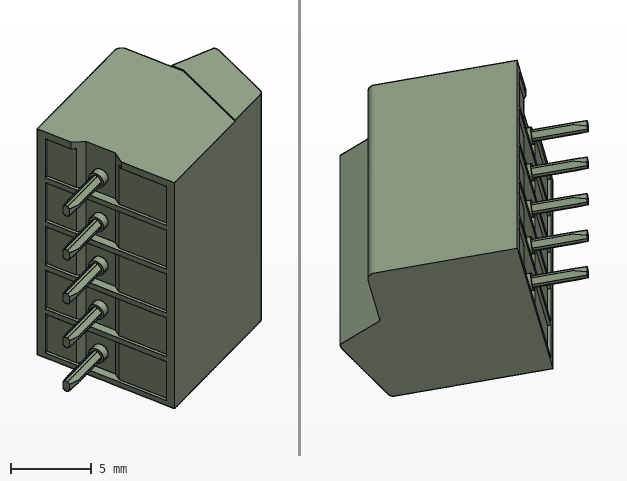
import cadquery as cq
import math


HOUSING_WIDTH = 10.0
HOUSING_DEPTH = 9.55
TOTAL_HEIGHT = 18.1
HEAD_STEP = 0.09
HOUSING_HEIGHT = TOTAL_HEIGHT - HEAD_STEP
HOUSING_RADIUS = 0.5
SLOPE_ANGLE = math.radians(25)
SLOPE_START_X = 4.69
SLOPE_END_DEPTH = HOUSING_DEPTH - (HOUSING_WIDTH - SLOPE_START_X) * math.tan(SLOPE_ANGLE)

HEAD_START_X = 3.84
HEAD_FACE_LENGTH = 3.25
HEAD_PEAK_CUT = 0.1
HEAD_OUTER_RADIUS = 0.4

POLE_COUNT = 5
POLE_PITCH = 3.5
POLE_X = 4.29
FIRST_POLE_Z = 1.75

RECESS_SIDE_MARGIN = 0.6
RECESS_BOTTOM_MARGIN = 0.4
RECESS_WEB = 0.4
RECESS_HEIGHT = POLE_PITCH - RECESS_WEB
RECESS_DEPTH = 0.2
CHANNEL_DEPTH = 0.55
CHANNEL_FLOOR_WIDTH = 2.12
CHANNEL_RIM_WIDTH = 3.65

COLLAR_DIAMETER = 1.09
PIN_LENGTH = 3.5
PIN_WIDTH = 0.8
PIN_FLAT = 0.2
TIP_WIDTH = 0.49
TIP_LENGTH = 0.81


def make_housing():
    """Block with a sloped rear corner and one rounded rear edge."""
    outline = [
        (0, 0),
        (HOUSING_WIDTH, 0),
        (HOUSING_WIDTH, SLOPE_END_DEPTH),
        (SLOPE_START_X, HOUSING_DEPTH),
        (0, HOUSING_DEPTH),
    ]
    block = cq.Workplane("XY").polyline(outline).close().extrude(HOUSING_HEIGHT)
    rear_edge = cq.selectors.NearestToPointSelector((0, HOUSING_DEPTH, HOUSING_HEIGHT / 2))
    return block.edges(rear_edge).fillet(HOUSING_RADIUS)


def make_head():
    """Head standing square on the slope, slightly taller than the housing."""
    peak_x = HEAD_START_X + HEAD_FACE_LENGTH * math.sin(SLOPE_ANGLE)
    peak_y = HOUSING_DEPTH + HEAD_FACE_LENGTH * math.cos(SLOPE_ANGLE)
    shoulder_y = peak_y - (HOUSING_WIDTH - peak_x) * math.tan(SLOPE_ANGLE)

    flat_y = peak_y - HEAD_PEAK_CUT
    flat_start_x = peak_x - HEAD_PEAK_CUT * math.tan(SLOPE_ANGLE)
    flat_end_x = peak_x + HEAD_PEAK_CUT / math.tan(SLOPE_ANGLE)
    outline = [
        (HEAD_START_X, HOUSING_DEPTH),
        (SLOPE_START_X, HOUSING_DEPTH),
        (HOUSING_WIDTH, SLOPE_END_DEPTH),
        (HOUSING_WIDTH, shoulder_y),
        (flat_end_x, flat_y),
        (flat_start_x, flat_y),
    ]
    head = cq.Workplane("XY").polyline(outline).close().extrude(TOTAL_HEIGHT)
    outer_edge = cq.selectors.NearestToPointSelector((HOUSING_WIDTH, shoulder_y, TOTAL_HEIGHT / 2))
    return head.edges(outer_edge).fillet(HEAD_OUTER_RADIUS)


def make_channel(bottom_z, height):
    """Length of the flared channel that runs along the row of pins."""
    outline = [
        (POLE_X - CHANNEL_RIM_WIDTH / 2, 0),
        (POLE_X + CHANNEL_RIM_WIDTH / 2, 0),
        (POLE_X + CHANNEL_FLOOR_WIDTH / 2, CHANNEL_DEPTH),
        (POLE_X - CHANNEL_FLOOR_WIDTH / 2, CHANNEL_DEPTH),
    ]
    return cq.Workplane("XY", origin=(0, 0, bottom_z)).polyline(outline).close().extrude(height)


def make_recess(bottom_z):
    """Shallow pocket of one pole, deepened by the channel."""
    width = HOUSING_WIDTH - 2 * RECESS_SIDE_MARGIN
    pocket = cq.Workplane("XY").box(width, RECESS_DEPTH, RECESS_HEIGHT, centered=False)
    pocket = pocket.translate((RECESS_SIDE_MARGIN, 0, bottom_z))
    return pocket.union(make_channel(bottom_z, RECESS_HEIGHT))


def make_pin(center_z):
    """Round collar on the channel floor and an eight-sided pin with a tapered tip."""
    floor = cq.Workplane("XZ", origin=(POLE_X, CHANNEL_DEPTH, center_z))
    collar = floor.circle(COLLAR_DIAMETER / 2).extrude(CHANNEL_DEPTH)

    corner_cut = (PIN_WIDTH - PIN_FLAT) / 2
    shaft = floor.rect(PIN_WIDTH, PIN_WIDTH).extrude(CHANNEL_DEPTH + PIN_LENGTH)
    shaft = shaft.edges("|Y").chamfer(corner_cut)

    taper_start_y = TIP_LENGTH - PIN_LENGTH
    profile = [
        (-PIN_WIDTH / 2, CHANNEL_DEPTH),
        (-PIN_WIDTH / 2, taper_start_y),
        (-TIP_WIDTH / 2, -PIN_LENGTH),
        (TIP_WIDTH / 2, -PIN_LENGTH),
        (PIN_WIDTH / 2, taper_start_y),
        (PIN_WIDTH / 2, CHANNEL_DEPTH),
    ]
    envelope = cq.Workplane("XY", origin=(POLE_X, 0, center_z)).polyline(profile).close()
    return collar.union(shaft.intersect(envelope.extrude(PIN_WIDTH / 2, both=True)))


result = make_housing().union(make_head())

for pole in range(POLE_COUNT):
    result = result.cut(make_recess(RECESS_BOTTOM_MARGIN + pole * POLE_PITCH))

top_wall_z = RECESS_BOTTOM_MARGIN + POLE_COUNT * POLE_PITCH - RECESS_WEB
result = result.cut(make_channel(top_wall_z, HOUSING_HEIGHT - top_wall_z))

for pole in range(POLE_COUNT):
    result = result.union(make_pin(FIRST_POLE_Z + pole * POLE_PITCH))